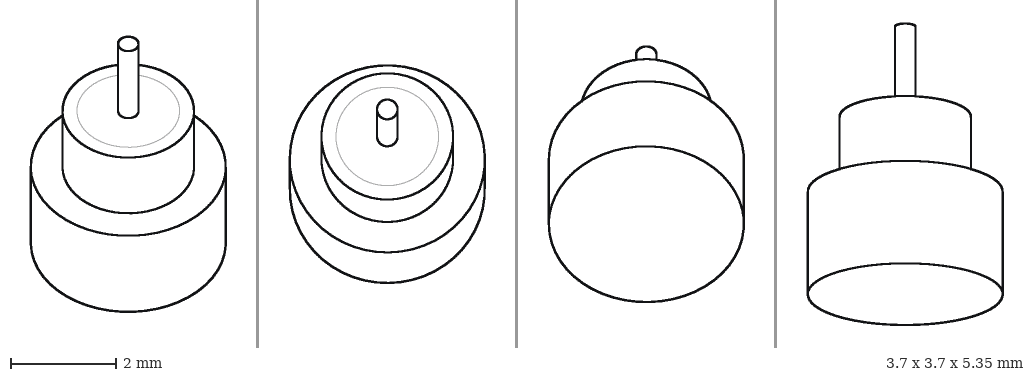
import cadquery as cq

total_height = 5.35
base_diameter = 3.7
base_height = 2.05
collar_diameter = 2.5
collar_height = 1.5
insulator_diameter = 1.95
pin_diameter = 0.39

collar_top = base_height + collar_height


def cylinder(diameter, bottom, top):
    """Upright cylinder on the Z axis between two heights."""
    return cq.Workplane("XY").workplane(offset=bottom).circle(diameter / 2).extrude(top - bottom)


base = cylinder(base_diameter, 0, base_height)
collar = cylinder(collar_diameter, base_height, collar_top)
insulator = cylinder(insulator_diameter, base_height, collar_top)
body = base.union(collar.cut(insulator))

pin = cylinder(pin_diameter, collar_top, total_height)

result = body.union(insulator, clean=False).union(pin, clean=False)